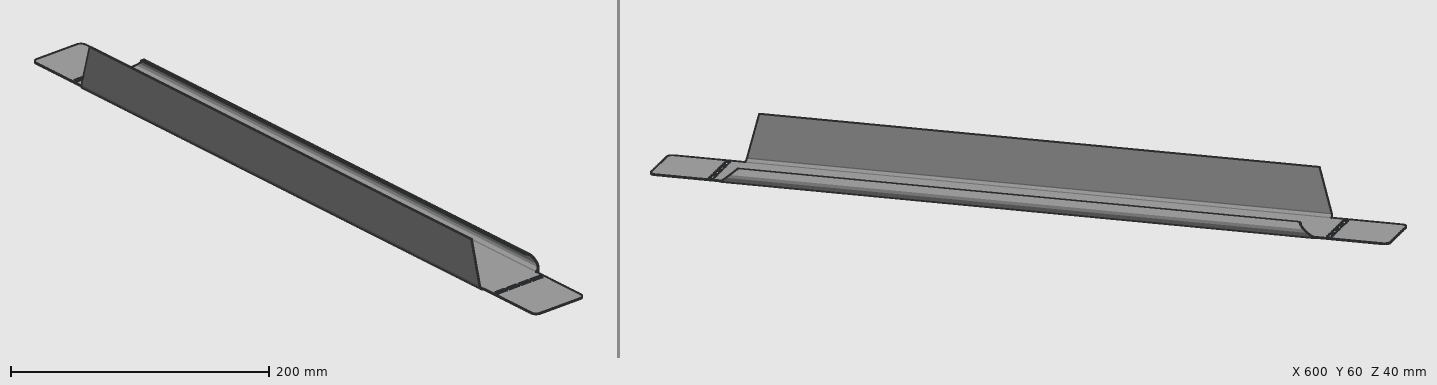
import cadquery as cq
import math

length = 600.0
width = 60.0
height = 40.0
thickness = 1.0

wall_bend_radius = 3.5
lip_bend_radius = 6.0

wall_end_bottom = 62.0
wall_end_top = 72.5
lip_end_bottom = 57.5
lip_end_top = 72.0

tab_corner_radius = 5.0
slot_row_inset = 49.0
slot_width = 3.5
slot_length = 9.5
slot_pitch = 12.0
slot_count = 4

half_length = length / 2
front = -width / 2
back = width / 2
floor_front = front + wall_bend_radius
floor_back = back - lip_bend_radius
floor_width = floor_back - floor_front
floor_center = (floor_front + floor_back) / 2


def extrude_section(section):
    """Extrude a YZ section symmetrically along the full length."""
    return section.close().extrude(half_length, both=True)


def trim_ends(body, bottom_inset, top_inset, top):
    """Keep the part of a flange inside a trapezoid in the XZ plane."""
    bottom_half = half_length - bottom_inset
    top_half = half_length - top_inset
    keep = (
        cq.Workplane("XZ")
        .polyline([(-bottom_half, 0), (bottom_half, 0), (top_half, top), (-top_half, top)])
        .close()
        .extrude(width, both=True)
    )
    return body.intersect(keep)


def make_floor():
    plate = (
        cq.Workplane("XY")
        .center(0, floor_center)
        .rect(length, floor_width)
        .extrude(thickness)
        .edges("|Z")
        .fillet(tab_corner_radius)
    )
    slot_x = half_length - slot_row_inset
    first_slot_y = floor_center - slot_pitch * (slot_count - 1) / 2
    slot_centers = [(x, first_slot_y + i * slot_pitch) for x in (-slot_x, slot_x) for i in range(slot_count)]
    slots = cq.Workplane("XY").pushPoints(slot_centers).rect(slot_width, slot_length).extrude(thickness)
    return plate.cut(slots)


def make_wall():
    inner_radius = wall_bend_radius - thickness
    outer_reach = wall_bend_radius * math.cos(math.radians(45))
    inner_reach = inner_radius * math.cos(math.radians(45))
    outer_middle = (floor_front - outer_reach, wall_bend_radius - outer_reach)
    inner_middle = (floor_front - inner_reach, wall_bend_radius - inner_reach)
    section = (
        cq.Workplane("YZ")
        .moveTo(floor_front, 0)
        .threePointArc(outer_middle, (front, wall_bend_radius))
        .lineTo(front, height)
        .lineTo(front + thickness, height)
        .lineTo(front + thickness, wall_bend_radius)
        .threePointArc(inner_middle, (floor_front, thickness))
    )
    return trim_ends(extrude_section(section), wall_end_bottom, wall_end_top, height)


def make_lip():
    inner_radius = lip_bend_radius - thickness
    lip_height = 2 * lip_bend_radius
    section = (
        cq.Workplane("YZ")
        .moveTo(floor_back, 0)
        .threePointArc((back, lip_bend_radius), (floor_back, lip_height))
        .lineTo(floor_back, lip_height - thickness)
        .threePointArc((floor_back + inner_radius, lip_bend_radius), (floor_back, thickness))
    )
    return trim_ends(extrude_section(section), lip_end_bottom, lip_end_top, lip_height)


result = make_floor().union(make_wall()).union(make_lip())